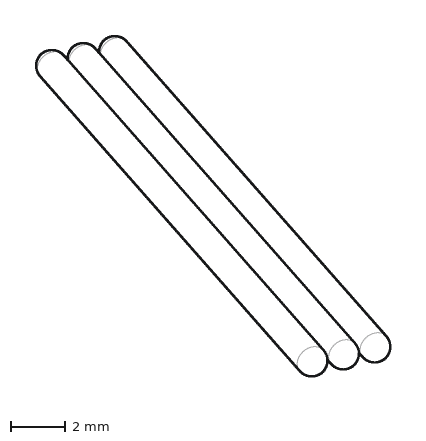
import cadquery as cq
import math

pin_length = 24.97
pin_diameter = 1.17
pin_radius = pin_diameter / 2

pin_count = 3
pin_pitch = 1.27


def round_ended_pin(y_centre):
    """Revolve half of the pin's lengthwise section about the pin's axis."""
    half_length = pin_length / 2
    half_straight = half_length - pin_radius
    arc_middle = pin_radius * math.sin(math.radians(45))
    return (
        cq.Workplane("XZ", origin=(0, y_centre, 0))
        .moveTo(-half_length, 0)
        .threePointArc((-half_straight - arc_middle, arc_middle), (-half_straight, pin_radius))
        .lineTo(half_straight, pin_radius)
        .threePointArc((half_straight + arc_middle, arc_middle), (half_length, 0))
        .close()
        .revolve(360, (0, 0, 0), (1, 0, 0))
    )


pins = []
for index in range(pin_count):
    y_centre = (index - (pin_count - 1) / 2) * pin_pitch
    pins.append(round_ended_pin(y_centre))

result = cq.Compound.makeCompound([pin.val() for pin in pins])